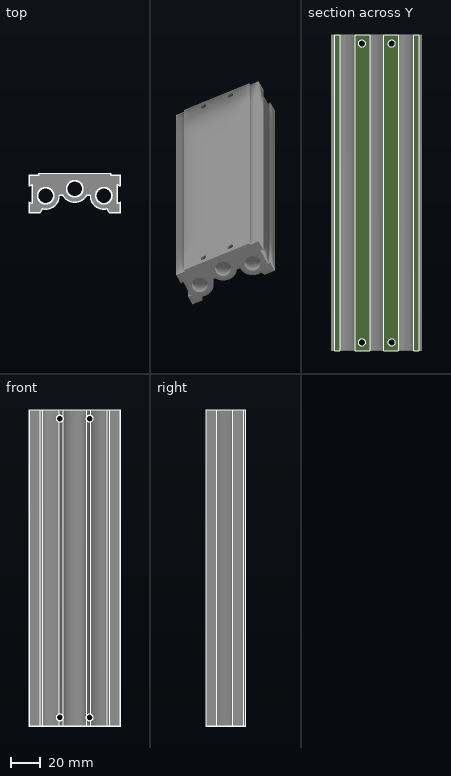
import cadquery as cq
import math

width = 61.0
depth = 26.5
length = 211.5

pad_width = 48.2
pad_height = 1.3

bore_diameter = 10.4
bore_chamfer = 0.5
wall_radius = 9.0
side_bore_x = 19.5
side_bore_y = -15.0
middle_bore_y = -10.4

web_y = -14.8

foot_tip_x = 23.0
foot_root_x = 21.5

groove_depth = 2.0
groove_center_y = -14.0
groove_mouth = 10.5
groove_floor = 12.3

mount_diameter = 4.5
mount_x = 10.0
mount_end_distance = 6.0

half_width = width / 2


def wall_height(x, center_x, center_y):
    """Y of the front half of a round wall at a given x."""
    return center_y - math.sqrt(wall_radius**2 - (x - center_x) ** 2)


def side_wall_x():
    """X where a side wall meets its web."""
    return side_bore_x - math.sqrt(wall_radius**2 - (web_y - side_bore_y) ** 2)


def half_profile():
    """Right half of the cross-section, from the middle plane to the outer side."""
    middle_wall_x = math.sqrt(wall_radius**2 - (web_y - middle_bore_y) ** 2)
    middle_arc_x = middle_wall_x / 2
    side_arc_x = side_bore_x - wall_radius * math.sqrt(0.5)
    groove_floor_x = half_width - groove_depth
    return (
        cq.Workplane("XY")
        .moveTo(0, 0)
        .lineTo(0, middle_bore_y - wall_radius)
        .threePointArc(
            (middle_arc_x, wall_height(middle_arc_x, 0, middle_bore_y)),
            (middle_wall_x, web_y),
        )
        .lineTo(side_wall_x(), web_y)
        .threePointArc(
            (side_arc_x, wall_height(side_arc_x, side_bore_x, side_bore_y)),
            (foot_root_x, wall_height(foot_root_x, side_bore_x, side_bore_y)),
        )
        .lineTo(foot_tip_x, -depth)
        .lineTo(half_width, -depth)
        .lineTo(half_width, groove_center_y - groove_mouth / 2)
        .lineTo(groove_floor_x, groove_center_y - groove_floor / 2)
        .lineTo(groove_floor_x, groove_center_y + groove_floor / 2)
        .lineTo(half_width, groove_center_y + groove_mouth / 2)
        .lineTo(half_width, -pad_height)
        .lineTo(pad_width / 2, -pad_height)
        .lineTo(pad_width / 2, 0)
        .close()
    )


def extruded_bar():
    """Symmetric bar made from the half profile and its mirror image."""
    half_bar = half_profile().extrude(length)
    return half_bar.union(half_bar.mirror("YZ")).clean()


def bores():
    """Round passages running the whole length, flared by a chamfer at both ends."""
    bore_radius = bore_diameter / 2
    mouth_radius = bore_radius + bore_chamfer
    bore = (
        cq.Workplane("XZ")
        .moveTo(0, 0)
        .lineTo(mouth_radius, 0)
        .lineTo(bore_radius, bore_chamfer)
        .lineTo(bore_radius, length - bore_chamfer)
        .lineTo(mouth_radius, length)
        .lineTo(0, length)
        .close()
        .revolve(360, (0, 0, 0), (0, 1, 0))
    )
    centers = [(-side_bore_x, side_bore_y), (0, middle_bore_y), (side_bore_x, side_bore_y)]
    all_bores = cq.Workplane("XY")
    for x, y in centers:
        all_bores = all_bores.add(bore.translate((x, y, 0)))
    return all_bores.combine()


def mounting_holes():
    """Holes from front to back, a pair near each end."""
    centers = [
        (x, z)
        for x in (-mount_x, mount_x)
        for z in (mount_end_distance, length - mount_end_distance)
    ]
    return cq.Workplane("XZ").pushPoints(centers).circle(mount_diameter / 2).extrude(depth)


result = extruded_bar().cut(bores()).cut(mounting_holes())